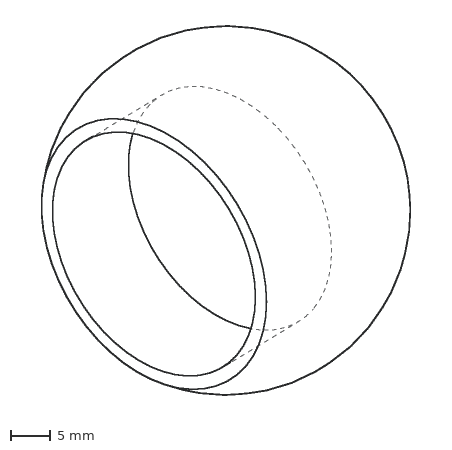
import cadquery as cq
import math

sphere_radius = 23.5
length_y = 37.75
bore_diameter = 33.7
bore_depth = 15.05

flat_y = sphere_radius - length_y
rim_radius = math.sqrt(sphere_radius**2 - flat_y**2)


def truncated_sphere():
    """Ball with a flat opening face, turned about the Y axis."""
    half_profile = (
        cq.Workplane("XY")
        .moveTo(0, flat_y)
        .lineTo(rim_radius, flat_y)
        .threePointArc((sphere_radius, 0), (0, sphere_radius))
        .close()
    )
    return half_profile.revolve(360, (0, 0, 0), (0, 1, 0))


def blind_bore():
    """Flat-bottomed round pocket running from the flat face toward +Y."""
    face = cq.Workplane("XZ", origin=(0, flat_y, 0))
    return face.circle(bore_diameter / 2).extrude(-bore_depth)


result = truncated_sphere().cut(blind_bore())